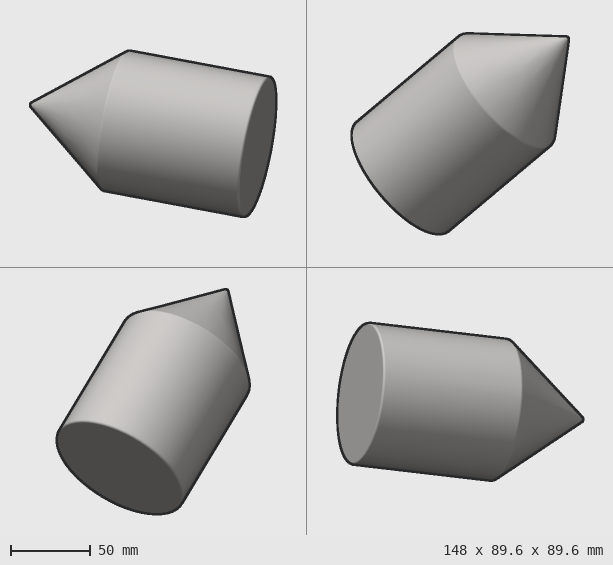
import cadquery as cq
import math

length = 148.0
body_radius = 44.8
cone_half_angle = math.radians(38.0)
tip_radius = 2.0
shoulder_radius = 2.0
end_radius = 1.5

tip_end_x = tip_radius * (1 - math.sin(cone_half_angle))
tip_end_radius = tip_radius * math.cos(cone_half_angle)
tip_mid_angle = (math.pi / 2 - cone_half_angle) / 2
tip_mid_x = tip_radius * (1 - math.cos(tip_mid_angle))
tip_mid_radius = tip_radius * math.sin(tip_mid_angle)

shoulder_x = tip_end_x + (body_radius - tip_end_radius) / math.tan(cone_half_angle)


def revolved_body():
    """Half outline of tip, cone and cylinder, turned about the X axis."""
    return (
        cq.Workplane("XY")
        .moveTo(0, 0)
        .threePointArc((tip_mid_x, tip_mid_radius), (tip_end_x, tip_end_radius))
        .lineTo(shoulder_x, body_radius)
        .lineTo(length, body_radius)
        .lineTo(length, 0)
        .close()
        .revolve(360, (0, 0, 0), (1, 0, 0))
    )


def circle_edge_at(x):
    """Selector for the outer circular edge lying in the plane at the given x."""
    margin = 0.1
    reach = body_radius + margin
    return cq.selectors.BoxSelector(
        (x - margin, -reach, -reach), (x + margin, reach, reach), boundingbox=True
    )


body = revolved_body()
body = body.edges(circle_edge_at(shoulder_x)).fillet(shoulder_radius)
result = body.edges(circle_edge_at(length)).fillet(end_radius)